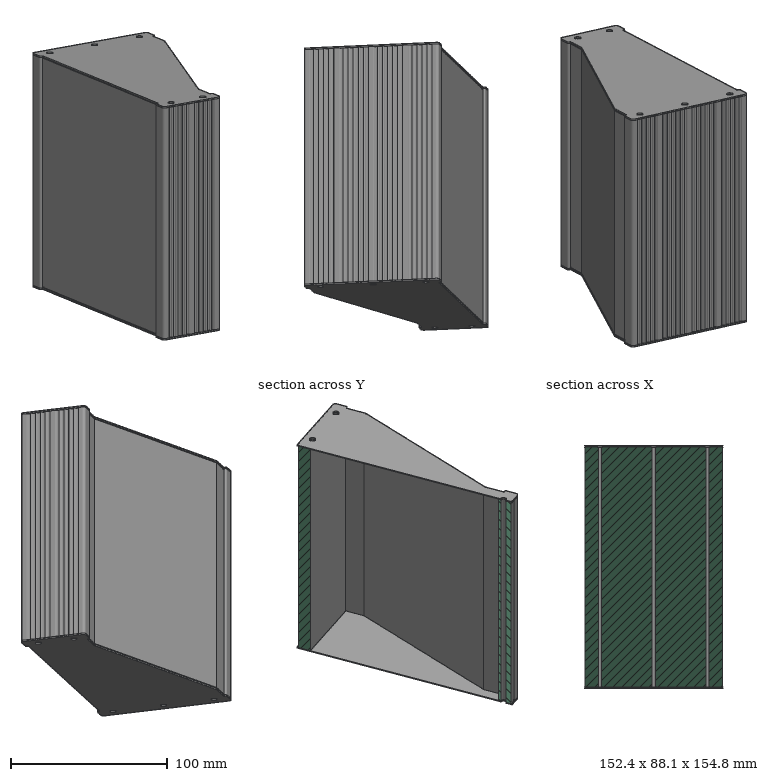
import cadquery as cq
import math

LENGTH_X = 152.4
DEPTH_Y = 88.1
HEIGHT_Z = 154.8
LEFT_X = -LENGTH_X / 2
RIGHT_X = LENGTH_X / 2
FRONT_Y = -DEPTH_Y / 2
BACK_Y = DEPTH_Y / 2

PLATE_THICKNESS = 1.0
BAR_WIDTH = 9.6
BAR_HEIGHT = HEIGHT_Z - 2 * PLATE_THICKNESS
RIGHT_BAR_DEPTH = 43.7
RIGHT_BACK_Y = FRONT_Y + RIGHT_BAR_DEPTH
OUTER_CORNER_RADIUS = 1.9
INNER_CORNER_RADIUS = 1.1

PANEL_SETBACK = 1.9
PANEL_THICKNESS = 1.5
PANEL_END_GAP = 0.5
PANEL_HEIGHT = BAR_HEIGHT - 2 * PANEL_END_GAP
PANEL_LEFT_X = LEFT_X + BAR_WIDTH
PANEL_RIGHT_X = RIGHT_X - BAR_WIDTH
PANEL_FRONT_Y = FRONT_Y + PANEL_SETBACK
BACK_HIGH_Y = BACK_Y - PANEL_SETBACK
BACK_LOW_Y = RIGHT_BACK_Y - PANEL_SETBACK
SLOPE_START_X = -53.0
SLOPE_END_X = 53.4

SCREW_CLEARANCE_DIAMETER = 3.9
SCREW_PILOT_DIAMETER = 3.1
SCREW_INSET_X = 6.0
SCREW_INSET_Y = 9.8
LEFT_SCREW_YS = [FRONT_Y + SCREW_INSET_Y, 0.0, BACK_Y - SCREW_INSET_Y]
RIGHT_SCREW_YS = [FRONT_Y + SCREW_INSET_Y, RIGHT_BACK_Y - SCREW_INSET_Y]

FLUTE_RADIUS = 0.5
FLUTE_FLOOR = 0.88
RIDGE_TOP = 0.43
BAND_WIDTH = 3.3
LEFT_CENTER_BAND_WIDTH = 3.0
FLUTE_DEPTH = 2 * FLUTE_RADIUS
FLUTE_OPENING = FLUTE_FLOOR + 4 * FLUTE_RADIUS
FLUTE_PITCH = FLUTE_OPENING + RIDGE_TOP
FLUTES_BETWEEN_BANDS = 6
FLUTES_TO_CORNER = 5
FLUTED_WIDTH_BETWEEN_BANDS = FLUTES_BETWEEN_BANDS * FLUTE_PITCH - RIDGE_TOP
SIDE_BAND_START = LEFT_CENTER_BAND_WIDTH / 2 + FLUTED_WIDTH_BETWEEN_BANDS
SIDE_BAND_END = SIDE_BAND_START + BAND_WIDTH


def flute_row(start_y, count):
    """Centre positions of a row of flutes that begins at start_y and runs toward +Y."""
    first_y = start_y + FLUTE_OPENING / 2
    return [first_y + i * FLUTE_PITCH for i in range(count)]


def mirrored(offsets):
    """The given offsets and their mirror images about zero."""
    return [-y for y in offsets] + offsets


def make_flute(face_x, center_y):
    """Cutter for one vertical flute that opens toward -X."""
    r = FLUTE_RADIUS
    bulge = r * math.sqrt(0.5)
    half_floor = FLUTE_FLOOR / 2
    wall = half_floor + r
    rim = FLUTE_OPENING / 2
    return (
        cq.Workplane("XY", origin=(face_x, center_y, -BAR_HEIGHT / 2))
        .moveTo(0, -rim)
        .threePointArc((r - bulge, -rim + bulge), (r, -wall))
        .threePointArc((r + bulge, -wall + r - bulge), (FLUTE_DEPTH, -half_floor))
        .lineTo(FLUTE_DEPTH, half_floor)
        .threePointArc((r + bulge, wall - r + bulge), (r, wall))
        .threePointArc((r - bulge, rim - bulge), (0, rim))
        .close()
        .extrude(BAR_HEIGHT)
    )


def make_bar(front_y, back_y, flute_offsets, screw_ys):
    """Upright bar on the left side, with a fluted face toward -X and screw holes along Z."""
    center_y = (front_y + back_y) / 2
    bar = (
        cq.Workplane("XY")
        .box(BAR_WIDTH, back_y - front_y, BAR_HEIGHT)
        .translate((LEFT_X + BAR_WIDTH / 2, center_y, 0))
    )
    bar = bar.edges("|Z and <X").fillet(OUTER_CORNER_RADIUS)
    bar = bar.edges("|Z and >X").fillet(INNER_CORNER_RADIUS)
    for offset in flute_offsets:
        bar = bar.cut(make_flute(LEFT_X, center_y + offset))
    screw_points = [(LEFT_X + SCREW_INSET_X, y) for y in screw_ys]
    pilots = (
        cq.Workplane("XY", origin=(0, 0, -BAR_HEIGHT / 2))
        .pushPoints(screw_points)
        .circle(SCREW_PILOT_DIAMETER / 2)
        .extrude(BAR_HEIGHT)
    )
    return bar.cut(pilots)


def make_left_bar():
    flutes = flute_row(LEFT_CENTER_BAND_WIDTH / 2, FLUTES_BETWEEN_BANDS)
    flutes += flute_row(SIDE_BAND_END, FLUTES_TO_CORNER)
    return make_bar(FRONT_Y, BACK_Y, mirrored(flutes), LEFT_SCREW_YS)


def make_right_bar():
    """Shorter bar, built on the left side and mirrored so that its flutes face +X."""
    flutes = flute_row(BAND_WIDTH / 2, FLUTES_TO_CORNER)
    return make_bar(FRONT_Y, RIGHT_BACK_Y, mirrored(flutes), RIGHT_SCREW_YS).mirror("YZ")


def plate_flange(left_x, front_y, back_y):
    """End of the plate that covers a bar; its outer corners are the rounder ones."""
    flange = (
        cq.Workplane("XY")
        .box(BAR_WIDTH, back_y - front_y, PLATE_THICKNESS)
        .translate((left_x + BAR_WIDTH / 2, (front_y + back_y) / 2, 0))
    )
    outer_side, inner_side = ("<X", ">X") if left_x < 0 else (">X", "<X")
    flange = flange.edges("|Z and " + outer_side).fillet(OUTER_CORNER_RADIUS)
    return flange.edges("|Z and " + inner_side).fillet(INNER_CORNER_RADIUS)


def make_end_plate(center_z):
    """Flat plate that covers both bars and the panels, with a clearance hole over each pilot hole."""
    web_overlap = BAR_WIDTH / 2
    web = (
        cq.Workplane("XY", origin=(0, 0, -PLATE_THICKNESS / 2))
        .polyline(
            [
                (PANEL_LEFT_X - web_overlap, PANEL_FRONT_Y),
                (PANEL_RIGHT_X + web_overlap, PANEL_FRONT_Y),
                (PANEL_RIGHT_X + web_overlap, BACK_LOW_Y),
                (SLOPE_END_X, BACK_LOW_Y),
                (SLOPE_START_X, BACK_HIGH_Y),
                (PANEL_LEFT_X - web_overlap, BACK_HIGH_Y),
            ]
        )
        .close()
        .extrude(PLATE_THICKNESS)
    )
    plate = (
        web.union(plate_flange(LEFT_X, FRONT_Y, BACK_Y))
        .union(plate_flange(PANEL_RIGHT_X, FRONT_Y, RIGHT_BACK_Y))
        .clean()
    )
    screw_points = [(LEFT_X + SCREW_INSET_X, y) for y in LEFT_SCREW_YS]
    screw_points += [(RIGHT_X - SCREW_INSET_X, y) for y in RIGHT_SCREW_YS]
    holes = (
        cq.Workplane("XY", origin=(0, 0, -PLATE_THICKNESS / 2))
        .pushPoints(screw_points)
        .circle(SCREW_CLEARANCE_DIAMETER / 2)
        .extrude(PLATE_THICKNESS)
    )
    return plate.cut(holes).translate((0, 0, center_z))


def make_front_panel():
    return (
        cq.Workplane("XY")
        .box(PANEL_RIGHT_X - PANEL_LEFT_X, PANEL_THICKNESS, PANEL_HEIGHT)
        .translate((0, PANEL_FRONT_Y + PANEL_THICKNESS / 2, 0))
    )


def make_back_panel():
    """Bent sheet: a flat strip beside each bar and a slope between them."""
    slope_angle = math.atan2(BACK_HIGH_Y - BACK_LOW_Y, SLOPE_END_X - SLOPE_START_X)
    bend_shift = PANEL_THICKNESS * math.tan(slope_angle / 2)
    return (
        cq.Workplane("XY", origin=(0, 0, -PANEL_HEIGHT / 2))
        .polyline(
            [
                (PANEL_LEFT_X, BACK_HIGH_Y),
                (SLOPE_START_X, BACK_HIGH_Y),
                (SLOPE_END_X, BACK_LOW_Y),
                (PANEL_RIGHT_X, BACK_LOW_Y),
                (PANEL_RIGHT_X, BACK_LOW_Y - PANEL_THICKNESS),
                (SLOPE_END_X - bend_shift, BACK_LOW_Y - PANEL_THICKNESS),
                (SLOPE_START_X - bend_shift, BACK_HIGH_Y - PANEL_THICKNESS),
                (PANEL_LEFT_X, BACK_HIGH_Y - PANEL_THICKNESS),
            ]
        )
        .close()
        .extrude(PANEL_HEIGHT)
    )


plate_center_z = (HEIGHT_Z - PLATE_THICKNESS) / 2
end_plates = [make_end_plate(side * plate_center_z) for side in (-1, 1)]
left_bar = make_left_bar()
right_bar = make_right_bar()
front_panel = make_front_panel()
back_panel = make_back_panel()

result = cq.Compound.makeCompound(
    [
        *[plate.solids().val() for plate in end_plates],
        left_bar.solids().val(),
        right_bar.solids().val(),
        front_panel.val(),
        back_panel.val(),
    ]
)